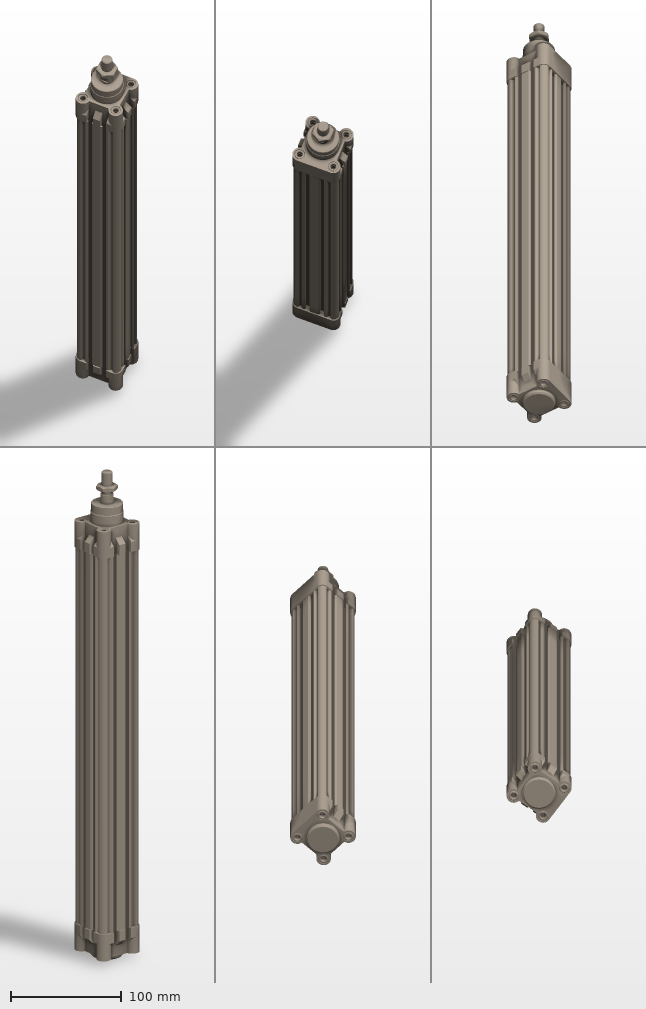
import cadquery as cq
import math

TOTAL_LENGTH = 466.0
SPIGOT_HEIGHT = 4.0
CAP_HEIGHT = 25.5
CAP_TOP_Z = 418.0
REAR_CAP_BOTTOM_Z = SPIGOT_HEIGHT
REAR_CAP_TOP_Z = REAR_CAP_BOTTOM_Z + CAP_HEIGHT
FRONT_CAP_BOTTOM_Z = CAP_TOP_Z - CAP_HEIGHT

CAP_HALF = 23.0
CORE_HALF = 17.2
BOLT_OFFSET = 16.5
BOSS_RADIUS = CAP_HALF - BOLT_OFFSET
BOSS_INNER = BOLT_OFFSET - math.sqrt(BOSS_RADIUS**2 - (CORE_HALF - BOLT_OFFSET) ** 2)
PAD_HEIGHT = 10.0
RAMP_HEIGHT = CAP_HALF - CORE_HALF
TONGUE_WIDTH = 7.0

CLEARANCE_DIAMETER = 9.5
HEAD_DIAMETER = 9.0
HEAD_RIM_DIAMETER = 8.0
CLEARANCE_DEPTH = 2.0
SINK_DIAMETER = 6.0
SOCKET_DIAMETER = 5.0
SOCKET_DEPTH = 4.5
DRILL_DIAMETER = 4.15
DRILL_DEPTH = 9.5
DRILL_POINT_ANGLE = 118.0

TUBE_HALF = 22.0
SLOT_FLOOR = CORE_HALF
LIP_BASE = 20.0
LIP_BEVEL_START = 21.0
RIB_NECK_HALF = 3.0
RIB_HEAD_HALF = 5.0
RIB_FACE_HALF = TONGUE_WIDTH / 2
SLOT_WALL = 10.5
LIP_TIP = 9.0
LIP_FACE_START = 10.5
LIP_FACE_END = 11.0
GROOVE_FLOOR = 19.5
GROOVE_FLOOR_START = LIP_FACE_END + TUBE_HALF - GROOVE_FLOOR
GROOVE_FLOOR_END = 14.5

COLLAR_DIAMETER = 30.0
COLLAR_TIP_DIAMETER = 29.0
COLLAR_TOP_Z = 436.0
COLLAR_STEP_Z = 428.3
COLLAR_CHAMFER = (COLLAR_DIAMETER - COLLAR_TIP_DIAMETER) / 2
SPIGOT_CHAMFER = 1.5

ROD_DIAMETER = 12.0
THREAD_DIAMETER = 10.0
THREAD_TIP_DIAMETER = 8.5
ROD_BOTTOM_Z = FRONT_CAP_BOTTOM_Z
SHOULDER_Z = 444.5
FLAT_LENGTH = 5.5
FLAT_WIDTH = THREAD_DIAMETER

NUT_WIDTH = 17.2
NUT_HEIGHT = 4.5
NUT_FACE_DIAMETER = 16.5
NUT_CHAMFER_ANGLE = 30.0
NUT_BOTTOM_Z = 448.5

CORNERS = [(sx * BOLT_OFFSET, sy * BOLT_OFFSET) for sx in (-1, 1) for sy in (-1, 1)]


def cylinder(diameter, bottom, top):
    return cq.Workplane("XY").workplane(offset=bottom).circle(diameter / 2).extrude(top - bottom)


def ramped_pad(x_start, x_end):
    """Pad on the -Y side, standing on z = 0, with a 45 degree ramp down from the core face."""
    return (
        cq.Workplane("YZ")
        .workplane(offset=x_start)
        .moveTo(0, 0)
        .lineTo(-CAP_HALF, 0)
        .lineTo(-CAP_HALF, PAD_HEIGHT)
        .lineTo(-CORE_HALF, PAD_HEIGHT + RAMP_HEIGHT)
        .lineTo(0, PAD_HEIGHT + RAMP_HEIGHT)
        .close()
        .extrude(x_end - x_start)
    )


def screw_socket():
    """Stepped socket of a screw and the clearance ring around its head, with the head top on z = 0."""
    drill_radius = DRILL_DIAMETER / 2
    socket_radius = SOCKET_DIAMETER / 2
    sink_radius = SINK_DIAMETER / 2
    point_height = drill_radius / math.tan(math.radians(DRILL_POINT_ANGLE / 2))
    socket = (
        cq.Workplane("XZ")
        .moveTo(0, 0)
        .lineTo(sink_radius, 0)
        .lineTo(socket_radius, socket_radius - sink_radius)
        .lineTo(socket_radius, -SOCKET_DEPTH)
        .lineTo(drill_radius, -SOCKET_DEPTH)
        .lineTo(drill_radius, -DRILL_DEPTH)
        .lineTo(0, -DRILL_DEPTH - point_height)
        .close()
        .revolve(360, (0, 0, 0), (0, 1, 0))
    )
    head_chamfer = (HEAD_DIAMETER - HEAD_RIM_DIAMETER) / 2
    head = cylinder(HEAD_DIAMETER, -CLEARANCE_DEPTH, 0).faces(">Z").chamfer(head_chamfer)
    return cylinder(CLEARANCE_DIAMETER, -CLEARANCE_DEPTH, 0).cut(head).union(socket)


def make_cap():
    """End cap with its tube side on z = 0 and its outer face on z = CAP_HEIGHT."""
    cap = cq.Workplane("XY").rect(2 * CORE_HALF, 2 * CORE_HALF).extrude(CAP_HEIGHT)
    cap = cap.union(cq.Workplane("XY").pushPoints(CORNERS).circle(BOSS_RADIUS).extrude(CAP_HEIGHT))
    cap = cap.union(
        cq.Workplane("XY").rect(2 * BOLT_OFFSET, CAP_HALF, centered=(True, False)).extrude(CAP_HEIGHT)
    )
    pads = (
        ramped_pad(-TONGUE_WIDTH / 2, TONGUE_WIDTH / 2)
        .union(ramped_pad(-BOLT_OFFSET, -BOSS_INNER))
        .union(ramped_pad(BOSS_INNER, BOLT_OFFSET))
    )
    for angle in (-90, 0, 90):
        cap = cap.union(pads.rotate((0, 0, 0), (0, 0, 1), angle))
    for x, y in CORNERS:
        cap = cap.cut(screw_socket().translate((x, y, CAP_HEIGHT)))
    return cap


def slot_and_groove_cutter():
    """Cutter for the T-slot beside the middle rib and the groove by the corner, on the +Y side."""
    slot = [
        (RIB_NECK_HALF, SLOT_FLOOR),
        (RIB_NECK_HALF, LIP_BASE),
        (RIB_HEAD_HALF, LIP_BASE),
        (RIB_HEAD_HALF, LIP_BEVEL_START),
        (RIB_FACE_HALF, TUBE_HALF),
        (LIP_FACE_START, TUBE_HALF),
        (LIP_TIP, LIP_BEVEL_START),
        (LIP_TIP, LIP_BASE),
        (SLOT_WALL, LIP_BASE),
        (SLOT_WALL, SLOT_FLOOR),
    ]
    groove = [
        (LIP_FACE_END, TUBE_HALF),
        (GROOVE_FLOOR_START, GROOVE_FLOOR),
        (GROOVE_FLOOR_END, GROOVE_FLOOR),
        (BOLT_OFFSET, TUBE_HALF),
    ]
    length = FRONT_CAP_BOTTOM_Z - REAR_CAP_TOP_Z
    start = cq.Workplane("XY").workplane(offset=REAR_CAP_TOP_Z)
    return start.polyline(slot).close().extrude(length).union(start.polyline(groove).close().extrude(length))


def make_tube():
    tube = (
        cq.Workplane("XY")
        .workplane(offset=REAR_CAP_TOP_Z)
        .rect(2 * TUBE_HALF, 2 * TUBE_HALF)
        .extrude(FRONT_CAP_BOTTOM_Z - REAR_CAP_TOP_Z)
        .edges("|Z")
        .fillet(TUBE_HALF - BOLT_OFFSET)
    )
    cutter = slot_and_groove_cutter()
    cutters = cutter.union(cutter.mirror("YZ"))
    for angle in (0, 90, 180, 270):
        tube = tube.cut(cutters.rotate((0, 0, 0), (0, 0, 1), angle))
    return tube


def make_housing():
    cap = make_cap()
    front_cap = cap.translate((0, 0, FRONT_CAP_BOTTOM_Z))
    rear_cap = cap.mirror("XY").translate((0, 0, REAR_CAP_TOP_Z))
    collar = cylinder(COLLAR_DIAMETER, CAP_TOP_Z, COLLAR_STEP_Z).faces(">Z").chamfer(COLLAR_CHAMFER)
    collar_tip = cylinder(COLLAR_TIP_DIAMETER, COLLAR_STEP_Z, COLLAR_TOP_Z).faces(">Z").chamfer(COLLAR_CHAMFER)
    spigot = cylinder(COLLAR_DIAMETER, 0, SPIGOT_HEIGHT).faces("<Z").chamfer(SPIGOT_CHAMFER)
    housing = make_tube()
    for section in (front_cap, rear_cap, collar, collar_tip, spigot):
        housing = housing.union(section)
    return housing.cut(cylinder(ROD_DIAMETER, ROD_BOTTOM_Z, COLLAR_TOP_Z))


def make_rod():
    shank = cylinder(ROD_DIAMETER, ROD_BOTTOM_Z, SHOULDER_Z)
    flats = (
        cq.Workplane("XY")
        .workplane(offset=SHOULDER_Z - FLAT_LENGTH)
        .rect(2 * ROD_DIAMETER, 2 * ROD_DIAMETER)
        .rect(2 * ROD_DIAMETER, FLAT_WIDTH)
        .extrude(FLAT_LENGTH)
    )
    thread = (
        cylinder(THREAD_DIAMETER, SHOULDER_Z, TOTAL_LENGTH)
        .faces(">Z")
        .chamfer((THREAD_DIAMETER - THREAD_TIP_DIAMETER) / 2)
    )
    return shank.cut(flats).union(thread)


def make_nut():
    """Hexagon nut with corners on the Y axis, its corners chamfered on both faces."""
    corner_radius = NUT_WIDTH / 2 / math.cos(math.pi / 6)
    face_radius = NUT_FACE_DIAMETER / 2
    chamfer_height = (corner_radius - face_radius) * math.tan(math.radians(NUT_CHAMFER_ANGLE))
    envelope = (
        cq.Workplane("XZ")
        .moveTo(0, 0)
        .lineTo(face_radius, 0)
        .lineTo(corner_radius, chamfer_height)
        .lineTo(corner_radius, NUT_HEIGHT - chamfer_height)
        .lineTo(face_radius, NUT_HEIGHT)
        .lineTo(0, NUT_HEIGHT)
        .close()
        .revolve(360, (0, 0, 0), (0, 1, 0))
    )
    hexagon = (
        cq.Workplane("XY")
        .polygon(6, 2 * corner_radius)
        .circle(THREAD_DIAMETER / 2)
        .extrude(NUT_HEIGHT)
        .rotate((0, 0, 0), (0, 0, 1), 90)
    )
    return hexagon.intersect(envelope).translate((0, 0, NUT_BOTTOM_Z))


housing = make_housing()
rod = make_rod()
nut = make_nut()

result = cq.Compound.makeCompound([housing.val(), rod.val(), nut.val()])